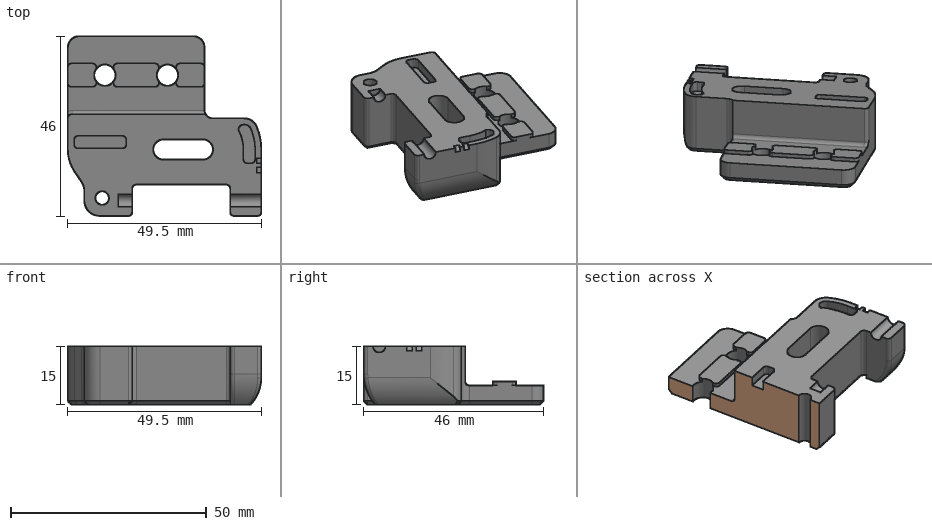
import cadquery as cq
import math

LENGTH = 49.5
WIDTH = 46.0
HEIGHT = 15.0
CUT_MARGIN = 1.0
PICK_REACH = 0.01

SMALL_RADIUS = 1.0
FLANGE_LENGTH = 35.0
FLANGE_RADIUS = 3.0
STEP_Y = 25.0
STEP_RADIUS = 2.0
CORNER_RADIUS = 3.5
SIDE_RADIUS = 15.0
SIDE_ARC_Y = 17.0
NOTCH_LEFT = 16.5
NOTCH_RIGHT = 41.5
NOTCH_DEPTH = 8.0
LEG_LEFT = 4.2
LEG_RADIUS = 4.0
SHOULDER_TOP = 13.9
SHOULDER_BOTTOM = 7.7
SHOULDER_RADIUS = 10.0
BOTTOM_CHAMFER = 1.0

FLANGE_TOP = 5.0
WALL_Y = 26.0
PAD_HEIGHT = 1.0
PAD_WIDTH = 6.0
PAD_GAP = 4.4
FLANGE_HOLE_DIAMETER = 5.4
FLANGE_HOLE_SPACING = 16.0
FLANGE_HOLE_Y = 36.0

FRONT_CURVE_RADIUS = 12.0
FRONT_CURVE_TOP = 8.0
RIGHT_CURVE_RADIUS = 10.0
RIGHT_CURVE_TOP = 7.0

PIN_HOLE_DIAMETER = 3.4
PIN_HOLE_CENTER = (8.8, 4.6)
SLOT_CENTER = (29.5, 17.0)
SLOT_LENGTH = 15.2
SLOT_WIDTH = 5.1
GROOVE_CENTER = (8.3, 18.9)
GROOVE_LENGTH = 13.3
GROOVE_WIDTH = 3.2
GROOVE_DEPTH = 2.5
CURVED_POCKET_INSET = 1.6
CURVED_POCKET_WIDTH = 3.0
CURVED_POCKET_FRONT = 13.5
CURVED_POCKET_CAP = 1.4
CURVED_POCKET_DEPTH = 2.5
TROUGH_RADIUS = 1.6
TROUGH_Y = 4.0
TROUGH_START = 12.9
MARK_SIZE = 1.15
MARK_WIDTH = 1.35
MARK_CENTERS_Y = (11.75, 14.15)

SIDE_CENTER = (LENGTH - SIDE_RADIUS, SIDE_ARC_Y)
CORNER_CENTER_Y = STEP_Y - CORNER_RADIUS
SIDE_ARC_ANGLE = math.asin((CORNER_CENTER_Y - SIDE_ARC_Y) / (SIDE_RADIUS - CORNER_RADIUS))
CORNER_CENTER_X = SIDE_CENTER[0] + (SIDE_RADIUS - CORNER_RADIUS) * math.cos(SIDE_ARC_ANGLE)


def box(x_range, y_range, z_range):
    """Axis-aligned box between the given limits."""
    size = [high - low for low, high in (x_range, y_range, z_range)]
    return (
        cq.Workplane("XY")
        .box(*size, centered=False)
        .translate((x_range[0], y_range[0], z_range[0]))
    )


def side_arc_point(radius, angle):
    """Point on an arc about the centre of the long right-side arc."""
    return (SIDE_CENTER[0] + radius * math.cos(angle), SIDE_CENTER[1] + radius * math.sin(angle))


def round_corner(body, x, y, radius):
    """Round the vertical edge that stands at (x, y)."""
    picker = cq.selectors.BoxSelector(
        (x - PICK_REACH, y - PICK_REACH, -HEIGHT),
        (x + PICK_REACH, y + PICK_REACH, 2 * HEIGHT),
    )
    return body.edges("|Z").edges(picker).fillet(radius)


def make_prism():
    """Full-height prism of the outline; the front corners of the right leg stay sharp here."""
    prism = (
        cq.Workplane("XY")
        .moveTo(LEG_LEFT, 0)
        .lineTo(NOTCH_LEFT, 0)
        .lineTo(NOTCH_LEFT, NOTCH_DEPTH)
        .lineTo(NOTCH_RIGHT, NOTCH_DEPTH)
        .lineTo(NOTCH_RIGHT, 0)
        .lineTo(LENGTH, 0)
        .lineTo(LENGTH, SIDE_ARC_Y)
        .threePointArc(
            side_arc_point(SIDE_RADIUS, SIDE_ARC_ANGLE / 2),
            side_arc_point(SIDE_RADIUS, SIDE_ARC_ANGLE),
        )
        .tangentArcPoint((CORNER_CENTER_X, STEP_Y), relative=False)
        .lineTo(FLANGE_LENGTH, STEP_Y)
        .lineTo(FLANGE_LENGTH, WIDTH)
        .lineTo(0, WIDTH)
        .lineTo(0, SHOULDER_TOP)
        .lineTo(LEG_LEFT, SHOULDER_BOTTOM)
        .close()
        .extrude(HEIGHT)
    )
    corners = [
        (LEG_LEFT, 0, LEG_RADIUS),
        (NOTCH_LEFT, 0, SMALL_RADIUS),
        (NOTCH_LEFT, NOTCH_DEPTH, SMALL_RADIUS),
        (NOTCH_RIGHT, NOTCH_DEPTH, SMALL_RADIUS),
        (FLANGE_LENGTH, STEP_Y, STEP_RADIUS),
        (FLANGE_LENGTH, WIDTH, FLANGE_RADIUS),
        (0, WIDTH, FLANGE_RADIUS),
        (0, SHOULDER_TOP, SHOULDER_RADIUS),
        (LEG_LEFT, SHOULDER_BOTTOM, LEG_RADIUS),
    ]
    for x, y, radius in corners:
        prism = round_corner(prism, x, y, radius)
    return prism


def chamfer_bottom(prism):
    """Chamfer the bottom rim everywhere except around the right leg."""
    inset = prism.faces("<Z").wires().toPending().offset2D(-BOTTOM_CHAMFER)
    foot = inset.extrude(BOTTOM_CHAMFER, taper=-45, combine=False)
    upper = prism.intersect(box((0, LENGTH), (0, WIDTH), (BOTTOM_CHAMFER, HEIGHT)))
    right_leg = prism.intersect(
        box((NOTCH_RIGHT, LENGTH), (0, NOTCH_DEPTH - SMALL_RADIUS), (0, HEIGHT))
    )
    return upper.union(foot).union(right_leg)


def make_step_envelope():
    """Low plate and tall block that meet in a filleted wall.

    Both overhang the part, except at the left end of the wall, where the block corner is rounded.
    """
    plate = box((-LENGTH, 2 * LENGTH), (-WIDTH, 2 * WIDTH), (0, FLANGE_TOP))
    block = box((0, 2 * LENGTH), (-WIDTH / 2, WALL_Y), (0, HEIGHT))
    block = round_corner(block, 0, WALL_Y, SMALL_RADIUS)
    foot_picker = cq.selectors.BoxSelector(
        (-LENGTH, -WIDTH, FLANGE_TOP - PICK_REACH),
        (2 * LENGTH, 2 * WIDTH, FLANGE_TOP + PICK_REACH),
    )
    return plate.union(block).edges(foot_picker).fillet(SMALL_RADIUS)


def add_pads(body):
    """Three raised pads across the flange, separated by the two holes."""
    first_hole = (FLANGE_LENGTH - FLANGE_HOLE_SPACING) / 2
    holes_x = (first_hole, first_hole + FLANGE_HOLE_SPACING)
    half_gap = PAD_GAP / 2
    pad_spans = [
        (0, holes_x[0] - half_gap),
        (holes_x[0] + half_gap, holes_x[1] - half_gap),
        (holes_x[1] + half_gap, FLANGE_LENGTH),
    ]
    pad_y = (FLANGE_HOLE_Y - PAD_WIDTH / 2, FLANGE_HOLE_Y + PAD_WIDTH / 2)
    for span in pad_spans:
        pad = box(span, pad_y, (FLANGE_TOP, FLANGE_TOP + PAD_HEIGHT))
        body = body.union(pad.edges("|Z").fillet(SMALL_RADIUS))
    holes = (
        cq.Workplane("XY")
        .pushPoints([(x, FLANGE_HOLE_Y) for x in holes_x])
        .circle(FLANGE_HOLE_DIAMETER / 2)
        .extrude(HEIGHT)
    )
    return body.cut(holes)


def inward_run(radius, top):
    """Distance an arc that starts vertical at height `top` has moved inward at the bottom."""
    return radius - math.sqrt(radius**2 - top**2)


def curved_edge_cutter(plane, radius, top, length):
    """Tool for a bottom edge: removes what lies outside an arc that starts vertical at height `top`.

    Local x runs inward from the face, local y runs up.
    """
    mid_angle = math.asin(top / radius) / 2
    mid = (radius * (1 - math.cos(mid_angle)), top - radius * math.sin(mid_angle))
    run = inward_run(radius, top)
    return (
        cq.Workplane(plane)
        .moveTo(0, top)
        .threePointArc(mid, (run, 0))
        .lineTo(run, -CUT_MARGIN)
        .lineTo(-CUT_MARGIN, -CUT_MARGIN)
        .lineTo(-CUT_MARGIN, top)
        .close()
        .extrude(length)
    )


def curve_underside(body):
    """Sweep the front of the right leg and the whole right side inward at the bottom."""
    front_plane = cq.Plane(origin=(NOTCH_RIGHT, 0, 0), xDir=(0, 1, 0), normal=(1, 0, 0))
    right_plane = cq.Plane(origin=(LENGTH, 0, 0), xDir=(-1, 0, 0), normal=(0, 1, 0))
    leg_length = LENGTH - NOTCH_RIGHT
    front = curved_edge_cutter(front_plane, FRONT_CURVE_RADIUS, FRONT_CURVE_TOP, leg_length)
    right = curved_edge_cutter(right_plane, RIGHT_CURVE_RADIUS, RIGHT_CURVE_TOP, STEP_Y)
    return body.cut(front).cut(right)


def round_leg_front(body):
    """Round the two front edges of the right leg, which follow its curved underside."""
    front_run = inward_run(FRONT_CURVE_RADIUS, FRONT_CURVE_TOP)
    right_run = inward_run(RIGHT_CURVE_RADIUS, RIGHT_CURVE_TOP)
    x_ranges = [(NOTCH_RIGHT, NOTCH_RIGHT), (LENGTH - right_run, LENGTH)]
    for x_low, x_high in x_ranges:
        picker = cq.selectors.BoxSelector(
            (x_low - PICK_REACH, -PICK_REACH, PICK_REACH),
            (x_high + PICK_REACH, front_run + PICK_REACH, HEIGHT - PICK_REACH),
        )
        body = body.edges(picker).fillet(SMALL_RADIUS)
    return body


def cut_holes_and_slots(body):
    """Pin hole, through slot and the shallow straight groove."""
    pin_radius = PIN_HOLE_DIAMETER / 2
    pin_hole = cq.Workplane("XY").center(*PIN_HOLE_CENTER).circle(pin_radius).extrude(HEIGHT)
    slot = cq.Workplane("XY").center(*SLOT_CENTER).slot2D(SLOT_LENGTH, SLOT_WIDTH).extrude(HEIGHT)
    groove = (
        cq.Workplane("XY", origin=(0, 0, HEIGHT))
        .center(*GROOVE_CENTER)
        .rect(GROOVE_LENGTH, GROOVE_WIDTH)
        .extrude(-GROOVE_DEPTH)
        .edges("|Z")
        .fillet(SMALL_RADIUS)
    )
    return body.cut(pin_hole).cut(slot).cut(groove)


def cut_curved_pocket(body):
    """Shallow pocket that follows the right side and the rear right corner."""
    outer_radius = SIDE_RADIUS - CURVED_POCKET_INSET
    inner_radius = outer_radius - CURVED_POCKET_WIDTH
    outer_x = SIDE_CENTER[0] + outer_radius
    inner_x = SIDE_CENTER[0] + inner_radius
    rear_y = STEP_Y - CURVED_POCKET_INSET
    inner_angle = math.asin((rear_y - CURVED_POCKET_CAP - SIDE_ARC_Y) / inner_radius)
    pocket = (
        cq.Workplane("XY", origin=(0, 0, HEIGHT))
        .moveTo(inner_x, CURVED_POCKET_FRONT)
        .lineTo(outer_x, CURVED_POCKET_FRONT)
        .lineTo(outer_x, SIDE_ARC_Y)
        .threePointArc(
            side_arc_point(outer_radius, SIDE_ARC_ANGLE / 2),
            side_arc_point(outer_radius, SIDE_ARC_ANGLE),
        )
        .tangentArcPoint((CORNER_CENTER_X, rear_y), relative=False)
        .tangentArcPoint(side_arc_point(inner_radius, inner_angle), relative=False)
        .threePointArc(side_arc_point(inner_radius, inner_angle / 2), (inner_x, SIDE_ARC_Y))
        .close()
        .extrude(-CURVED_POCKET_DEPTH)
    )
    for x in (inner_x, outer_x):
        pocket = round_corner(pocket, x, CURVED_POCKET_FRONT, SMALL_RADIUS)
    return body.cut(pocket)


def cut_trough(body):
    """Half-round trough along X across the tops of both legs."""
    trough = (
        cq.Workplane("YZ", origin=(TROUGH_START, 0, 0))
        .center(TROUGH_Y, HEIGHT)
        .circle(TROUGH_RADIUS)
        .extrude(LENGTH - TROUGH_START)
    )
    return body.cut(trough)


def cut_index_marks(body):
    """Two small sloped marks on the top right edge."""
    for center_y in MARK_CENTERS_Y:
        mark = (
            cq.Workplane("XZ", origin=(0, center_y, 0))
            .moveTo(LENGTH - MARK_SIZE, HEIGHT)
            .lineTo(LENGTH, HEIGHT - MARK_SIZE)
            .lineTo(LENGTH, HEIGHT)
            .close()
            .extrude(MARK_WIDTH / 2, both=True)
        )
        body = body.cut(mark)
    return body


body = chamfer_bottom(make_prism())
body = body.intersect(make_step_envelope())
body = add_pads(body)
body = curve_underside(body)
body = round_leg_front(body)
body = cut_holes_and_slots(body)
body = cut_curved_pocket(body)
body = cut_trough(body)
result = cut_index_marks(body)